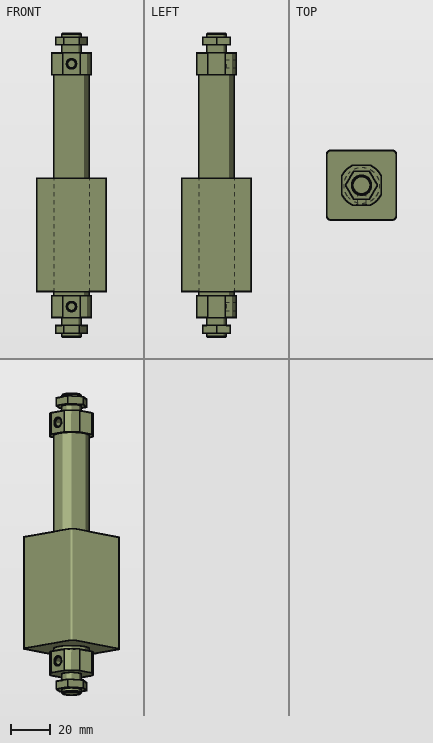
import cadquery as cq
import math

total_length = 153.0

stud_length = 10.0
stud_diameter = 10.0
stud_chamfer = 0.6
nut_across_flats = 13.9
nut_height = 4.0
nut_end_distance = 2.0

cap_height = 11.0
cap_across_flats = 20.0
cap_diameter = 21.9

port_diameter = 4.1
port_mouth_diameter = 5.0
port_depth = 5.0

tube_diameter = 18.0
block_width = 35.0
block_height = 57.0
block_corner_radius = 2.0
block_cap_gap = 2.0

half_length = total_length / 2
cap_outer_z = half_length - stud_length
cap_inner_z = cap_outer_z - cap_height
cap_middle_z = (cap_outer_z + cap_inner_z) / 2
block_bottom_z = -cap_inner_z + block_cap_gap


def make_cap():
    """Upper end cap with flats on all four sides."""
    round_bar = cq.Workplane("XY").workplane(offset=cap_inner_z).circle(cap_diameter / 2).extrude(cap_height)
    square_bar = (
        cq.Workplane("XY")
        .workplane(offset=cap_inner_z)
        .rect(cap_across_flats, cap_across_flats)
        .extrude(cap_height)
    )
    return round_bar.intersect(square_bar)


def make_port():
    """Cutter for the blind port, with a 45 degree chamfer at its mouth on the -Y flat."""
    port_radius = port_diameter / 2
    mouth_radius = port_mouth_diameter / 2
    mouth_y = -cap_across_flats / 2
    chamfer_end_y = mouth_y + mouth_radius - port_radius
    bottom_y = mouth_y + port_depth
    half_section = (
        cq.Workplane("XY")
        .moveTo(0, mouth_y)
        .lineTo(mouth_radius, mouth_y)
        .lineTo(port_radius, chamfer_end_y)
        .lineTo(port_radius, bottom_y)
        .lineTo(0, bottom_y)
        .close()
    )
    return half_section.revolve(360, (0, 0), (0, 1)).translate((0, 0, cap_middle_z))


def make_stud():
    """Upper stud with a chamfered end."""
    stud = cq.Workplane("XY").workplane(offset=cap_outer_z).circle(stud_diameter / 2).extrude(stud_length)
    return stud.faces(">Z").chamfer(stud_chamfer)


def make_nut():
    """Hexagon nut with two corners on the X axis."""
    across_corners = nut_across_flats / math.cos(math.pi / 6)
    nut_bottom_z = half_length - nut_end_distance - nut_height
    return cq.Workplane("XY").workplane(offset=nut_bottom_z).polygon(6, across_corners).extrude(nut_height)


def make_cylinder():
    """Tube with a mirrored cap, stud and nut at each end, as one solid."""
    cylinder = cq.Workplane("XY").circle(tube_diameter / 2).extrude(cap_inner_z, both=True)
    upper_end = make_cap().union(make_stud()).union(make_nut()).cut(make_port())
    return cylinder.union(upper_end).union(upper_end.mirror("XY"))


def make_slide_block():
    """Rounded square block whose bore fits the tube."""
    block = (
        cq.Workplane("XY")
        .workplane(offset=block_bottom_z)
        .rect(block_width, block_width)
        .extrude(block_height)
        .edges("|Z")
        .fillet(block_corner_radius)
    )
    return block.faces(">Z").workplane().hole(tube_diameter)


cylinder = make_cylinder()
slide_block = make_slide_block()
result = cq.Compound.makeCompound([cylinder.solids().val(), slide_block.solids().val()])